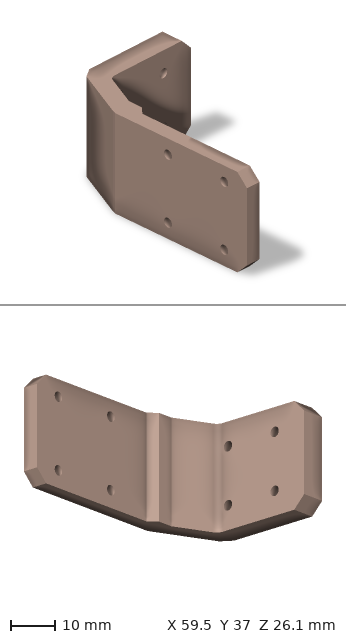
import cadquery as cq
import math

length = 59.5
depth = 37.0
height = 26.1

side_thickness = 6.05
front_thickness = 4.05
web_angle = math.radians(25)

side_bend_start_y = 10.25
side_bend_end_x = 1.85
side_bend_end_y = 7.45
front_bend_start_x = 17.1
front_bend_end_x = 18.1
front_bend_start_y = side_bend_end_y - (front_bend_start_x - side_bend_end_x) * math.tan(web_angle)

inner_corner_y = 10.95
inner_corner_radius = 1.95
pad_thickness = 6.05
pad_start_x = side_thickness + (inner_corner_y - pad_thickness) / math.tan(web_angle)
pad_end_x = 20.65
pad_foot_x = pad_end_x + pad_thickness - front_thickness

corner_chamfer = 3.05
hole_diameter = 2.5
front_hole_pitch = 17.7
front_hole_center_x = 43.5
side_hole_pitch = 14.15
side_hole_center_y = 20.95


def bent_body():
    """Bent bracket, centred on Z, with a rounded inside corner."""
    body = (
        cq.Workplane("XY")
        .workplane(offset=-height / 2)
        .moveTo(0, depth)
        .lineTo(0, side_bend_start_y)
        .lineTo(side_bend_end_x, side_bend_end_y)
        .lineTo(front_bend_start_x, front_bend_start_y)
        .lineTo(front_bend_end_x, 0)
        .lineTo(length, 0)
        .lineTo(length, front_thickness)
        .lineTo(pad_foot_x, front_thickness)
        .lineTo(pad_end_x, pad_thickness)
        .lineTo(pad_start_x, pad_thickness)
        .lineTo(side_thickness, inner_corner_y)
        .lineTo(side_thickness, depth)
        .close()
        .extrude(height)
    )
    inside_corner = cq.selectors.NearestToPointSelector((side_thickness, inner_corner_y, 0))
    return body.edges("|Z").edges(inside_corner).fillet(inner_corner_radius)


def chamfer_free_ends(body):
    """Cut the upper and lower corners at the free end of each arm."""
    body = body.faces(">X").edges("|Y").chamfer(corner_chamfer)
    return body.faces(">Y").edges("|X").chamfer(corner_chamfer)


def hole_cutters(plane, center, pitch, reach):
    """Square pattern of four cylinders, centred on Z = 0."""
    return (
        cq.Workplane(plane)
        .center(center, 0)
        .rect(pitch, pitch, forConstruction=True)
        .vertices()
        .circle(hole_diameter / 2)
        .extrude(reach, both=True)
    )


front_holes = hole_cutters("XZ", front_hole_center_x, front_hole_pitch, front_thickness)
side_holes = hole_cutters("YZ", side_hole_center_y, side_hole_pitch, side_thickness)

result = chamfer_free_ends(bent_body()).cut(front_holes).cut(side_holes)